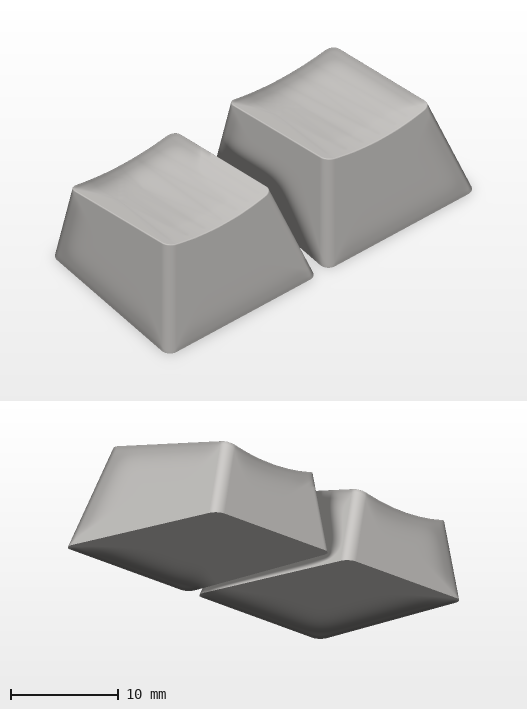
import cadquery as cq
import math

key_pitch = 19.05
key_centres = {"X": key_pitch / 2, "Z": -key_pitch / 2}

base_length = 18.0
base_width_front = 16.55
base_width_back = 18.0

front_lean = 1.8
back_lean = 18.7
side_lean = 14.8

blank_height = 11.85
corner_radius = 1.0
rim_radius = 0.1

dish_radius = 27.75
dish_slope = 9.5
dish_floor_height = 6.62
dish_length = 59.15

stroke_width = 0.65
legend_depth = 0.3
legend_left = 2.1
cross_right = 5.03
cross_top = -1.9
cross_bottom = -3.95
zed_right = 4.9
zed_top = -1.55
zed_bottom = -3.85

legend_strokes = {
    "X": [
        ((legend_left, cross_top), (cross_right, cross_bottom)),
        ((legend_left, cross_bottom), (cross_right, cross_top)),
    ],
    "Z": [
        ((legend_left, zed_bottom), (legend_left, zed_top)),
        ((legend_left, zed_top), (zed_right, zed_bottom)),
        ((zed_right, zed_bottom), (zed_right, zed_top)),
    ],
}


def inset(lean, height):
    """Horizontal distance a leaning wall moves inwards over a height."""
    return height * math.tan(math.radians(lean))


def section_corners(height):
    """Corners of the horizontal section through the blank at a height."""
    front = inset(front_lean, height)
    back = base_length - inset(back_lean, height)
    widening = (base_width_back - base_width_front) / 2 / base_length
    half_width_at_origin = base_width_front / 2 - inset(side_lean, height)
    half_front = half_width_at_origin + widening * front
    half_back = half_width_at_origin + widening * back
    return [(front, -half_front), (back, -half_back), (back, half_back), (front, half_front)]


def dish_cylinder(depth=0.0):
    """Cylinder of the dish surface, enlarged by a depth below that surface."""
    slope = math.radians(dish_slope)
    axis = cq.Vector(math.cos(slope), 0, math.sin(slope))
    upward = cq.Vector(-math.sin(slope), 0, math.cos(slope))
    centre = cq.Vector(0, 0, dish_floor_height) + upward * dish_radius
    start = centre - axis * (dish_length / 2)
    cylinder = cq.Solid.makeCylinder(dish_radius + depth, dish_length, start, axis)
    return cq.Workplane(obj=cylinder)


def make_blank():
    """Six-sided blank with flat leaning walls."""
    bottom = [cq.Vector(x, y, 0) for x, y in section_corners(0)]
    top = [cq.Vector(x, y, blank_height) for x, y in section_corners(blank_height)]
    outlines = [bottom, top]
    for i in range(len(bottom)):
        outlines.append([bottom[i - 1], bottom[i], top[i], top[i - 1]])
    faces = [cq.Face.makeFromWires(cq.Wire.makePolygon(outline, close=True)) for outline in outlines]
    return cq.Workplane(obj=cq.Solid.makeSolid(cq.Shell.makeShell(faces)))


def make_cap_body():
    """Solid keycap with rounded corners, a dished top and a softened rim."""
    rounded = make_blank().edges("not #Z").fillet(corner_radius)
    dished = rounded.cut(dish_cylinder())
    return dished.faces("%CYLINDER").faces(">Z").edges().fillet(rim_radius)


def make_stroke(start, end):
    """Tall upright prism with rounded ends that runs between two points."""
    run = end[0] - start[0]
    rise = end[1] - start[1]
    middle = ((start[0] + end[0]) / 2, (start[1] + end[1]) / 2)
    overall_length = math.hypot(run, rise) + stroke_width
    return (
        cq.Workplane("XY")
        .center(*middle)
        .slot2D(overall_length, stroke_width, math.degrees(math.atan2(rise, run)))
        .extrude(blank_height)
    )


def make_legend(letter, cap_body):
    """Legend inlay: its strokes kept between the dish and the recess floor."""
    prism, *others = [make_stroke(start, end) for start, end in legend_strokes[letter]]
    for stroke in others:
        prism = prism.union(stroke)
    return prism.intersect(cap_body).intersect(dish_cylinder(legend_depth))


cap_body = make_cap_body()
bodies = []
for letter, centre_y in key_centres.items():
    legend = make_legend(letter, cap_body)
    keycap = cap_body.cut(legend)
    for body in (keycap, legend):
        bodies.append(body.translate((0, centre_y, 0)).solids().val())

result = cq.Compound.makeCompound(bodies)